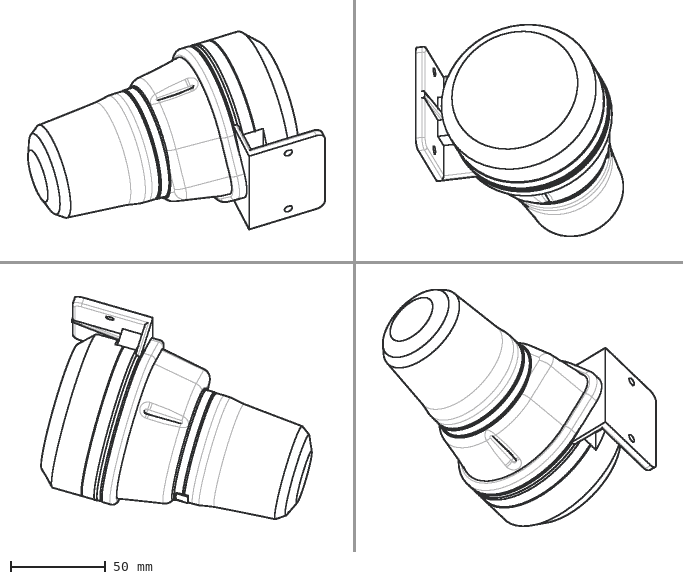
import cadquery as cq
import math


total_length = 142.9

tip_dome_y, tip_dome_radius = 0.7, 14.3
nose_cone_y, nose_cone_radius = 4.5, 44.5 / 2
lens_front_y, lens_front_radius = 9.1, 25.6
taper_y, taper_radius = 42.0, 28.3
lens_radius = 59.6 / 2
lens_shoulder_y, lens_step_y = 49.7, 53.5
lens_step = 0.1
lens_rear_y = 57.7
neck_radius = 60.0 / 2
neck_groove_width, neck_groove_depth = 1.0, 0.5

tab_front_y, tab_rear_y = 55.6, 62.1
tab_width = 11.0

neck_ring_y, neck_ring_radius = 63.1, 30.7

bowl_front_y = 63.7
flange_front_y, flange_rear_y = 92.3, 99.3
flange_radius = 84.5 / 2
flange_reach = 49.9
flank_angle = math.radians(39.0)
flange_fillet = 2.7
bowl_inset = 4.0
bowl_taper = 10.0
bowl_front_fillet = 5.6

housing_radius = 84.3 / 2
housing_front_y, lip_rear_y, collar_rear_y = 100.3, 102.0, 103.6
lip_radius = 42.0
seam_y, seam_width, seam_depth = 110.5, 0.5, 0.3
chamfer_y, housing_rear_y = 127.0, 135.1
rear_face_radius = 34.3
gasket_radius = 41.7

channel_radius = 1.3
channel_floor = 32.7
channel_rear_y = 87.5
channel_rim_fillet = 2.9

bracket_outer_x = 52.0
bracket_inner_x = 28.6
bracket_height = 60.0
bracket_front_y = 99.7
front_plate_thickness = 3.0
side_plate_thickness = 4.7
bracket_corner_radius = 5.0
bracket_edge_fillet = 1.5
mount_hole_diameter = 4.3
mount_hole_y, mount_hole_spacing = 122.0, 45.7
gusset_thickness = 4.0
gusset_tip, gusset_slope = 0.1, 0.09
gusset_crest_fillet = 0.7

seat_x = 33.6
seat_front_y, seat_rear_y = collar_rear_y, 115.0
block_height = 22.9


def plane_facing_front(y):
    """Sketch plane at the given Y, with X to the right, Z up and -Y as its normal."""
    return cq.Workplane("XZ", origin=(0, y, 0))


def teardrop(y, inset):
    """Circle around the Y axis with two straight flanks running to a rounded nose on +X."""
    round_radius = flange_radius - inset
    nose_x = (flange_reach - flange_radius) / (1 - math.cos(flank_angle))
    nose_radius = flange_reach - nose_x - inset
    cos_a, sin_a = math.cos(flank_angle), math.sin(flank_angle)
    big_x, big_z = round_radius * cos_a, round_radius * sin_a
    small_x, small_z = nose_x + nose_radius * cos_a, nose_radius * sin_a
    return (
        plane_facing_front(y)
        .moveTo(big_x, big_z)
        .threePointArc((-round_radius, 0), (big_x, -big_z))
        .lineTo(small_x, -small_z)
        .threePointArc((nose_x + nose_radius, 0), (small_x, small_z))
        .close()
    )


def make_turned_body():
    """Lens, neck and rear housing, revolved as one profile."""
    groove_rear_y = lens_rear_y + neck_groove_width
    groove_radius = lens_radius - neck_groove_depth
    seam_radius = housing_radius - seam_depth
    dome_midpoint = (tip_dome_radius / 2, tip_dome_y / 4)
    profile = (
        cq.Workplane("XY")
        .moveTo(0, 0)
        .threePointArc(dome_midpoint, (tip_dome_radius, tip_dome_y))
        .lineTo(nose_cone_radius, nose_cone_y)
        .lineTo(lens_front_radius, lens_front_y)
        .lineTo(taper_radius, taper_y)
        .lineTo(lens_radius - lens_step, lens_shoulder_y)
        .lineTo(lens_radius, lens_step_y)
        .lineTo(lens_radius, lens_rear_y)
        .lineTo(groove_radius, lens_rear_y)
        .lineTo(groove_radius, groove_rear_y)
        .lineTo(neck_radius, groove_rear_y)
        .lineTo(neck_radius, neck_ring_y)
        .lineTo(neck_ring_radius, neck_ring_y)
        .lineTo(neck_ring_radius, flange_rear_y)
        .lineTo(gasket_radius, flange_rear_y)
        .lineTo(gasket_radius, housing_front_y)
        .lineTo(lip_radius, housing_front_y)
        .lineTo(lip_radius, lip_rear_y)
        .lineTo(flange_radius, lip_rear_y)
        .lineTo(flange_radius, collar_rear_y)
        .lineTo(housing_radius, collar_rear_y)
        .lineTo(housing_radius, seam_y - seam_width / 2)
        .lineTo(seam_radius, seam_y - seam_width / 2)
        .lineTo(seam_radius, seam_y + seam_width / 2)
        .lineTo(housing_radius, seam_y + seam_width / 2)
        .lineTo(housing_radius, chamfer_y)
        .lineTo(rear_face_radius, housing_rear_y)
        .lineTo(0, housing_rear_y)
        .close()
    )
    return profile.revolve(360, (0, 0, 0), (0, 1, 0))


def make_flange():
    """Teardrop flange with a rounded front edge."""
    flange = teardrop(flange_rear_y, 0).extrude(flange_rear_y - flange_front_y)
    return flange.faces("<Y").edges().fillet(flange_fillet)


def make_channel_cutter():
    """Upper round-bottomed channel, parallel to the axis, open outward and round at its rear end."""
    length = channel_rear_y - bowl_front_y
    axis_z = channel_floor + channel_radius
    groove = plane_facing_front(channel_rear_y).center(0, axis_z).circle(channel_radius).extrude(length)
    groove_end = cq.Workplane("XY", origin=(0, channel_rear_y, axis_z)).sphere(channel_radius)
    opening = (
        cq.Workplane("XY", origin=(0, 0, axis_z))
        .moveTo(-channel_radius, bowl_front_y)
        .lineTo(channel_radius, bowl_front_y)
        .lineTo(channel_radius, channel_rear_y)
        .threePointArc((0, channel_rear_y + channel_radius), (-channel_radius, channel_rear_y))
        .close()
        .extrude(flange_radius - axis_z)
    )
    return groove.union(groove_end).union(opening)


def make_bowl():
    """Tapered teardrop bowl with a rounded front edge and two screw channels."""
    bowl = teardrop(flange_front_y, bowl_inset).extrude(flange_front_y - bowl_front_y, taper=bowl_taper)
    bowl = bowl.faces("<Y").edges().fillet(bowl_front_fillet)
    upper_channel = make_channel_cutter()
    bowl = bowl.cut(upper_channel).cut(upper_channel.mirror("XY"))
    for side in (-1, 1):
        rim = cq.selectors.BoxSelector(
            (-2 * channel_radius, bowl_front_y, side * channel_floor),
            (2 * channel_radius, flange_front_y - channel_radius, side * flange_radius),
        )
        bowl = bowl.faces("%CONE").edges(rim).fillet(channel_rim_fillet)
    return bowl


def make_tab():
    """Flat latch tab on the -X side of the neck."""
    depth = neck_radius / 2
    tab = cq.Workplane("XY").box(depth, tab_rear_y - tab_front_y, tab_width, centered=(False, False, True))
    return tab.translate((-neck_radius, tab_front_y, 0))


def make_bracket():
    """Angle bracket: front plate, side plate with two holes, and a tapered gusset."""
    side_inner_x = bracket_outer_x - side_plate_thickness
    front_inner_y = bracket_front_y + front_plate_thickness
    angle = (
        cq.Workplane("XY", origin=(0, 0, -bracket_height / 2))
        .moveTo(bracket_inner_x, bracket_front_y)
        .lineTo(bracket_outer_x, bracket_front_y)
        .lineTo(bracket_outer_x, total_length)
        .lineTo(side_inner_x, total_length)
        .lineTo(side_inner_x, front_inner_y)
        .lineTo(bracket_inner_x, front_inner_y)
        .close()
        .extrude(bracket_height)
    )
    angle = angle.faces(">Y").edges("|X").fillet(bracket_corner_radius)
    side_face = cq.selectors.NearestToPointSelector((side_inner_x, mount_hole_y, 0))
    front_face = cq.selectors.NearestToPointSelector(((bracket_inner_x + side_inner_x) / 2, front_inner_y, 0))
    inner_edges = angle.faces(side_face).edges("not(<Y)").add(angle.faces(front_face).edges("|X"))
    angle = inner_edges.fillet(bracket_edge_fillet)
    holes = (
        cq.Workplane("YZ")
        .pushPoints([(mount_hole_y, side * mount_hole_spacing / 2) for side in (-1, 1)])
        .circle(mount_hole_diameter / 2)
        .extrude(bracket_outer_x)
    )
    gusset_base = gusset_tip + gusset_slope * (total_length - front_inner_y)
    gusset = (
        cq.Workplane("XY", origin=(0, 0, -gusset_thickness / 2))
        .moveTo(bracket_outer_x, front_inner_y)
        .lineTo(bracket_outer_x, total_length)
        .lineTo(side_inner_x - gusset_tip, total_length)
        .lineTo(side_inner_x - gusset_base, front_inner_y)
        .close()
        .extrude(gusset_thickness)
    )
    gusset = gusset.faces("<X").edges("not |Z").fillet(gusset_crest_fillet)
    return angle.cut(holes).union(gusset)


def seat_box(height):
    """Box from the seat face out to the side plate."""
    reach = bracket_outer_x - side_plate_thickness - seat_x
    box = cq.Workplane("XY").box(reach, seat_rear_y - seat_front_y, height, centered=(False, False, True))
    return box.translate((seat_x, seat_front_y, 0))


housing = make_turned_body().cut(seat_box(2 * housing_radius))
result = (
    housing.union(make_flange())
    .union(make_bowl())
    .union(make_tab())
    .union(make_bracket())
    .union(seat_box(block_height))
)